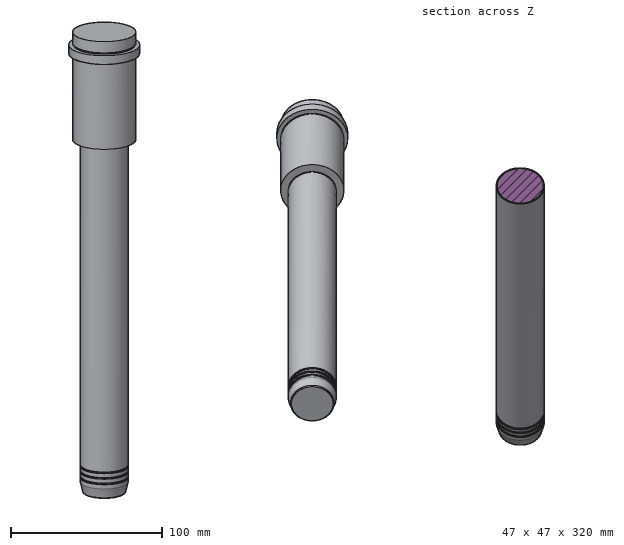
import cadquery as cq

LENGTH = 320.0
ROD_DIAMETER = 32.0
SLEEVE_DIAMETER = 42.0
FLANGE_DIAMETER = 47.0

SLEEVE_BOTTOM = LENGTH - 75.0
FLANGE_TOP = LENGTH - 9.0
FLANGE_THICKNESS = 6.0

NOSE_LENGTH = 7.5
NOSE_END_DIAMETER = 28.8
NOSE_MIDDLE_DIAMETER = 30.0
NOSE_CHAMFER = 0.5

GROOVE_COUNT = 3
GROOVE_PITCH = 4.0
GROOVE_WIDTH = 1.0
GROOVE_DEPTH = 0.5


def cylinder(diameter, bottom, height):
    """Upright cylinder on the Z axis."""
    return cq.Workplane("XY").workplane(offset=bottom).circle(diameter / 2).extrude(height)


def rod_with_nose():
    """Rod revolved from its half profile, including the curved nose."""
    profile = (
        cq.Workplane("XZ")
        .lineTo(NOSE_END_DIAMETER / 2 - NOSE_CHAMFER, 0)
        .lineTo(NOSE_END_DIAMETER / 2, NOSE_CHAMFER)
        .threePointArc((NOSE_MIDDLE_DIAMETER / 2, NOSE_LENGTH / 2), (ROD_DIAMETER / 2, NOSE_LENGTH))
        .lineTo(ROD_DIAMETER / 2, LENGTH)
        .lineTo(0, LENGTH)
        .close()
    )
    return profile.revolve(360, (0, 0, 0), (0, 1, 0))


def ring_groove(surface_diameter, bottom):
    """Ring of material to remove from a cylinder of the given diameter."""
    ring = cylinder(surface_diameter, bottom, GROOVE_WIDTH)
    return ring.cut(cylinder(surface_diameter - 2 * GROOVE_DEPTH, bottom, GROOVE_WIDTH))


flange_bottom = FLANGE_TOP - FLANGE_THICKNESS

rod = rod_with_nose().cut(ring_groove(ROD_DIAMETER, SLEEVE_BOTTOM - GROOVE_WIDTH))
for index in range(GROOVE_COUNT):
    groove_top = NOSE_LENGTH + (index + 1) * GROOVE_PITCH
    rod = rod.cut(ring_groove(ROD_DIAMETER, groove_top - GROOVE_WIDTH))

sleeve = cylinder(SLEEVE_DIAMETER, SLEEVE_BOTTOM, LENGTH - SLEEVE_BOTTOM)
for relief_bottom in (FLANGE_TOP, flange_bottom - GROOVE_WIDTH):
    sleeve = sleeve.cut(ring_groove(SLEEVE_DIAMETER, relief_bottom))

flange = cylinder(FLANGE_DIAMETER, flange_bottom, FLANGE_THICKNESS)

result = rod.union(sleeve).union(flange)